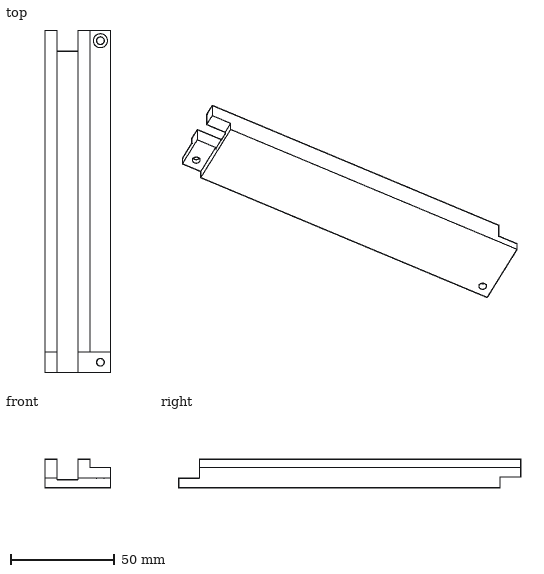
import cadquery as cq

WIDTH = 32.0
LENGTH = 166.0
HEIGHT = 14.0

LEFT_WALL = 6.0
SLOT_WIDTH = 10.0
LEDGE_WIDTH = 10.0
FLOOR_THICKNESS = 4.0
LEDGE_HEIGHT = 10.0

LAP_LENGTH = 10.0
LAP_PLANE_HEIGHT = 5.0
LAP_CLEARANCE = 0.2
TONGUE_THICKNESS = LAP_PLANE_HEIGHT - LAP_CLEARANCE
UNDERCUT_HEIGHT = LAP_PLANE_HEIGHT + LAP_CLEARANCE

HOLE_DIAMETER = 3.6
COUNTERSINK_DIAMETER = 6.8
COUNTERSINK_ANGLE = 90.0
HOLE_X = WIDTH - LEDGE_WIDTH / 2
HOLE_END_OFFSET = LAP_LENGTH / 2


def rail():
    """Constant-section rail: two walls, the slot between them and a lower ledge on the right."""
    slot_right = LEFT_WALL + SLOT_WIDTH
    ledge_left = WIDTH - LEDGE_WIDTH
    outline = [
        (0, 0),
        (WIDTH, 0),
        (WIDTH, LEDGE_HEIGHT),
        (ledge_left, LEDGE_HEIGHT),
        (ledge_left, HEIGHT),
        (slot_right, HEIGHT),
        (slot_right, FLOOR_THICKNESS),
        (LEFT_WALL, FLOOR_THICKNESS),
        (LEFT_WALL, HEIGHT),
        (0, HEIGHT),
    ]
    return cq.Workplane("XZ").polyline(outline).close().extrude(-LENGTH)


def lap_cut(y_start, z_start, cut_height):
    """Full-width block removed at one end to form half of the lap joint."""
    block = cq.Workplane("XY").box(WIDTH, LAP_LENGTH, cut_height, centered=False)
    return block.translate((0, y_start, z_start))


def cut_tongue_hole(body):
    """Plain through hole in the tongue at the near end."""
    top = cq.Workplane("XY", origin=(HOLE_X, HOLE_END_OFFSET, TONGUE_THICKNESS))
    drill = top.circle(HOLE_DIAMETER / 2).extrude(-TONGUE_THICKNESS)
    return body.cut(drill)


def cut_countersunk_hole(body):
    """Countersunk through hole in the ledge above the far undercut."""
    hole_center = (HOLE_X, LENGTH - HOLE_END_OFFSET, LEDGE_HEIGHT)
    ledge = body.copyWorkplane(cq.Workplane("XY", origin=hole_center))
    return ledge.cskHole(HOLE_DIAMETER, COUNTERSINK_DIAMETER, COUNTERSINK_ANGLE)


part = rail()
part = part.cut(lap_cut(0, TONGUE_THICKNESS, HEIGHT - TONGUE_THICKNESS))
part = part.cut(lap_cut(LENGTH - LAP_LENGTH, 0, UNDERCUT_HEIGHT))
part = cut_tongue_hole(part)
result = cut_countersunk_hole(part)